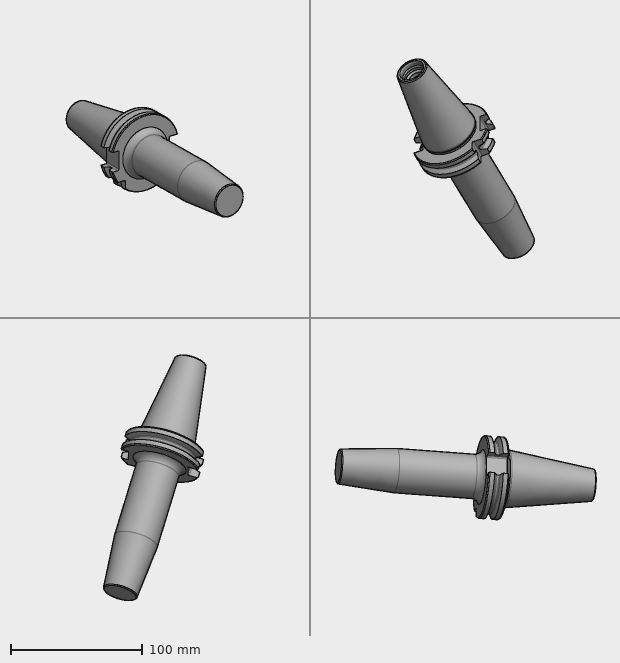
import cadquery as cq
import math

LENGTH = 198.2

TAPER_LENGTH = 67.6
GAUGE_RADIUS = 22.2
TAPER_SLOPE = 7 / 48
SMALL_END_RADIUS = GAUGE_RADIUS - TAPER_SLOPE * TAPER_LENGTH
END_CHAMFER = 0.8
RELIEF_START = 68.8
RELIEF_FLOOR_START = 69.8
RELIEF_RADIUS = 21.8

FLANGE_START = 71.4
FLANGE_END = 87.5
FLANGE_RADIUS = 31.7
FLANGE_EDGE_WIDTH = 1.0
FLANGE_EDGE_DEPTH = 0.5
GROOVE_CENTER = (FLANGE_START + FLANGE_END) / 2
GROOVE_TOP_WIDTH = 6.7
GROOVE_FLOOR_WIDTH = 2.5
GROOVE_FLOOR_RADIUS = 27.5
GROOVE_FILLET = 0.8

BODY_RADIUS = 17.0
BLEND_START_RADIUS = 21.0
BLEND_LENGTH = 6.3
NOSE_START = 154.0
NOSE_RADIUS = 13.5

SLOT_HALF_HEIGHT = 8.1
SLOT_FLOOR_PLUS_Y = 22.6
SLOT_FLOOR_MINUS_Y = 24.8
NOTCH_Y = -18.5
NOTCH_Z = -18.0
SLOT_CORNER_RADIUS = 1.0
NOTCH_CORNER_RADIUS = 1.4
CUT_MARGIN = 2.0

MOUTH_RADIUS = 10.0
MOUTH_DEPTH = 2.2
ENTRY_RADIUS = 9.3
ENTRY_DEPTH = 4.4
COUNTERBORE_RADIUS = 8.5
COUNTERBORE_START = 6.0
COUNTERBORE_DEPTH = 8.1
CORE_RADIUS = 7.0
CORE_START = 9.7
HOLE_DEPTH = 31.7
DRILL_TIP_LENGTH = CORE_RADIUS / math.tan(math.radians(59))


def turned_body():
    """Revolve the outer outline of the holder."""
    groove_top = GROOVE_TOP_WIDTH / 2
    groove_floor = GROOVE_FLOOR_WIDTH / 2
    edge_radius = FLANGE_RADIUS - FLANGE_EDGE_DEPTH
    blend_end = FLANGE_END + BLEND_LENGTH
    rise = BLEND_START_RADIUS - BODY_RADIUS
    blend_radius = (BLEND_LENGTH**2 + rise**2) / (2 * rise)
    half_angle = math.asin(BLEND_LENGTH / blend_radius) / 2
    blend_middle = (
        blend_end - blend_radius * math.sin(half_angle),
        BODY_RADIUS + blend_radius * (1 - math.cos(half_angle)),
    )
    outline = (
        cq.Workplane("XY")
        .moveTo(0, 0)
        .lineTo(0, SMALL_END_RADIUS - END_CHAMFER)
        .lineTo(END_CHAMFER, SMALL_END_RADIUS + TAPER_SLOPE * END_CHAMFER)
        .lineTo(TAPER_LENGTH, GAUGE_RADIUS)
        .lineTo(RELIEF_START, GAUGE_RADIUS)
        .lineTo(RELIEF_FLOOR_START, RELIEF_RADIUS)
        .lineTo(FLANGE_START, RELIEF_RADIUS)
        .lineTo(FLANGE_START, edge_radius)
        .lineTo(FLANGE_START + FLANGE_EDGE_WIDTH, FLANGE_RADIUS)
        .lineTo(GROOVE_CENTER - groove_top, FLANGE_RADIUS)
        .lineTo(GROOVE_CENTER - groove_floor, GROOVE_FLOOR_RADIUS)
        .lineTo(GROOVE_CENTER + groove_floor, GROOVE_FLOOR_RADIUS)
        .lineTo(GROOVE_CENTER + groove_top, FLANGE_RADIUS)
        .lineTo(FLANGE_END - FLANGE_EDGE_WIDTH, FLANGE_RADIUS)
        .lineTo(FLANGE_END, edge_radius)
        .lineTo(FLANGE_END, BLEND_START_RADIUS)
        .threePointArc(blend_middle, (blend_end, BODY_RADIUS))
        .lineTo(NOSE_START, BODY_RADIUS)
        .lineTo(LENGTH - END_CHAMFER, NOSE_RADIUS)
        .lineTo(LENGTH, NOSE_RADIUS - END_CHAMFER)
        .lineTo(LENGTH, 0)
        .close()
    )
    body = outline.revolve(360, (0, 0, 0), (1, 0, 0))
    groove_corners = cq.selectors.BoxSelector(
        (GROOVE_CENTER - GROOVE_FLOOR_WIDTH, -FLANGE_RADIUS, -FLANGE_RADIUS),
        (GROOVE_CENTER + GROOVE_FLOOR_WIDTH, FLANGE_RADIUS, FLANGE_RADIUS),
    )
    return body.edges("%CIRCLE").edges(groove_corners).fillet(GROOVE_FILLET)


def flange_cutter(y_inner, y_outer, z_low, z_high, corner_radius):
    """Bar across the flange width with rounded lengthwise corners."""
    return (
        cq.Workplane("YZ", origin=(FLANGE_START, 0, 0))
        .center((y_inner + y_outer) / 2, (z_low + z_high) / 2)
        .rect(abs(y_outer - y_inner), z_high - z_low)
        .extrude(FLANGE_END - FLANGE_START)
        .edges("|X")
        .fillet(corner_radius)
    )


def rear_hole():
    """Hole narrowing through tapered and straight steps to a conical bottom."""
    outline = [
        (0, 0),
        (0, MOUTH_RADIUS),
        (MOUTH_DEPTH, ENTRY_RADIUS),
        (ENTRY_DEPTH, ENTRY_RADIUS),
        (COUNTERBORE_START, COUNTERBORE_RADIUS),
        (COUNTERBORE_DEPTH, COUNTERBORE_RADIUS),
        (CORE_START, CORE_RADIUS),
        (HOLE_DEPTH, CORE_RADIUS),
        (HOLE_DEPTH + DRILL_TIP_LENGTH, 0),
    ]
    return cq.Workplane("XY").polyline(outline).close().revolve(360, (0, 0, 0), (1, 0, 0))


outside = FLANGE_RADIUS + CUT_MARGIN
result = turned_body()
for floor, side in ((SLOT_FLOOR_PLUS_Y, 1), (-SLOT_FLOOR_MINUS_Y, -1)):
    slot = flange_cutter(
        floor, side * outside, -SLOT_HALF_HEIGHT, SLOT_HALF_HEIGHT, SLOT_CORNER_RADIUS
    )
    result = result.cut(slot)
result = result.cut(flange_cutter(NOTCH_Y, -outside, -outside, NOTCH_Z, NOTCH_CORNER_RADIUS))
result = result.cut(rear_hole())